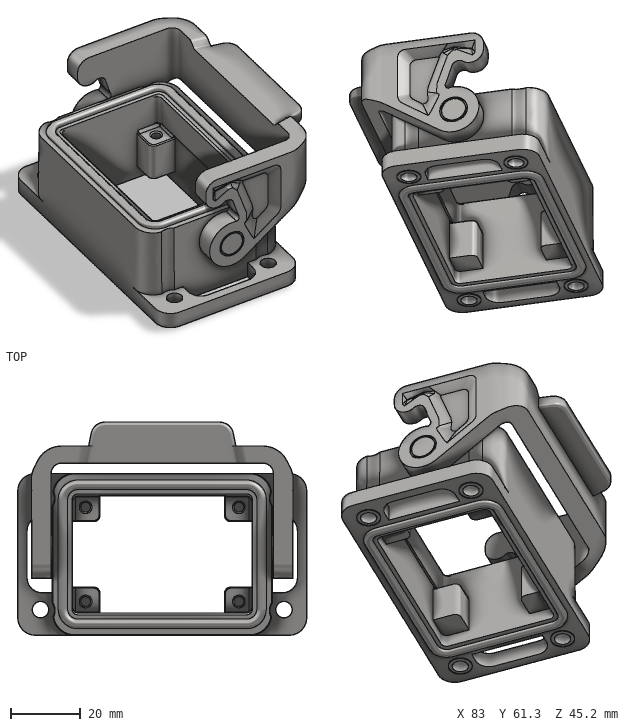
import cadquery as cq
import math

FLANGE_X = 83.0
FLANGE_Y = 46.5
FLANGE_Z0 = 1.3
FLANGE_TOP = 6.4
FLANGE_CORNER = 5.1
MOUNT_HOLE_X = 34.95
MOUNT_HOLE_Y = 15.85
MOUNT_HOLE_D = 4.65
MOUNT_PAD_D = 6.9
MOUNT_PAD_H = 0.25
SLOT_OUTER_X = 38.8
SLOT_HALF_Y = 10.95
SLOT_CORNER = 4.15

BODY_TOP = 28.4
BODY_HALF_X = 31.4
BODY_DRAFT = 0.5
BODY_CORNER_X = 6.9
BODY_CORNER_Y = 5.3
CHEEK_HALF_X = 31.6
CHEEK_HALF_Y = 13.9
NECK_HALF_X = 31.0
NECK_Y = 15.9

SEAL_X = 59.8
SEAL_Y = 42.7
SEAL_WIDTH = 2.7
SEAL_CORNER = 5.65
SEAL_HEIGHT = 1.25

CAVITY_X = 51.5
CAVITY_Y = 33.5
CAVITY_WIDE_Y = 34.7
CAVITY_MOUTH_X = 51.8
CAVITY_SPLIT_Z = 18.5
MOUTH_BEVEL_H = 0.6
CAVITY_CORNER = 1.7

POST_X = 7.9
POST_Y = 7.4
POST_INNER_X = CAVITY_X / 2 - POST_X
POST_INNER_Y = CAVITY_Y / 2 - POST_Y
POST_Z0 = 5.4
POST_TOP = 17.35
POST_CORNER = 1.8
POST_CHAMFER = 0.3
POST_OVERLAP = 0.8
POST_BEAD = 0.8
SCREW_X = 22.0
SCREW_Y = 13.5
SCREW_D = 2.8
SCREW_CHAMFER = 0.4
SCREW_DEPTH = 8.3

TOP = 45.2
ARM_OUTER_X = 37.5
ARM_INNER_X = 31.9
BACK_OUTER_Y = 31.1
BACK_INNER_Y = 26.15
BACK_BOTTOM_Z = 31.2
CORNER_CUT_X = 3.9
CORNER_CUT_Y = 7.6
CORNER_BACK_R = 7.7
CORNER_SIDE_R = 6.55
BRACKET_INNER_R = 2.9
NOSE_R = 3.9
NOSE_Y = -3.0
NOSE_LOW_Z = 39.3
NOSE_END_ANGLE = -65.0
THROAT_START = (-0.4, 36.35)
THROAT_CROWN = (1.25, 36.35)
THROAT_BACK_TOP = (2.4, 35.2)
THROAT_BACK_LOW = (4.15, 29.7)
THROAT_BLEND = (4.4, 28.6)
HUB_Y = 2.0
HUB_Z = 20.3
HUB_R = 7.55
HUB_START_ANGLE = 78.0
PIN_R = 3.6
PIN_GROOVE_R = 4.1
PIN_GROOVE_DEPTH = 0.4
PIN_INNER_X = 29.9

RECESS_DEPTH = 1.8
NOSE_RECESS_DEPTH = 0.9

TAB_TOP = 43.2
TAB_END_Y = 38.0
TAB_ROOT_Y = 28.2
TAB_ROOT_BOTTOM = 38.7
TAB_END_BOTTOM = 39.3
TAB_HALF_X = 21.2
TAB_FLARE = 0.2
TAB_CORNER = 4.15
TAB_ROUND = 1.0
DIP_UPPER_R = 2.0
DIP_LOWER_R = 1.1


def rounded_block(size_x, size_y, corner, z0, z1):
    block = cq.Workplane("XY", origin=(0, 0, z0)).rect(size_x, size_y).extrude(z1 - z0)
    return block.edges("|Z").fillet(corner)


def both_sides(solid):
    return solid.union(solid.mirror("YZ"))


def at_hub(angle):
    """Point on the hub circle; angle in radians from +Y towards +Z."""
    return (HUB_Y + HUB_R * math.cos(angle), HUB_Z + HUB_R * math.sin(angle))


def flange():
    plate = rounded_block(FLANGE_X, FLANGE_Y, FLANGE_CORNER, FLANGE_Z0, FLANGE_TOP)
    corners = [(sx * MOUNT_HOLE_X, sy * MOUNT_HOLE_Y) for sx in (-1, 1) for sy in (-1, 1)]
    pads = (
        cq.Workplane("XY", origin=(0, 0, FLANGE_Z0 - MOUNT_PAD_H))
        .pushPoints(corners)
        .circle(MOUNT_PAD_D / 2)
        .extrude(MOUNT_PAD_H)
    )
    holes = cq.Workplane("XY").pushPoints(corners).circle(MOUNT_HOLE_D / 2).extrude(FLANGE_TOP)
    slots = rounded_block(2 * SLOT_OUTER_X, 2 * SLOT_HALF_Y, SLOT_CORNER, 0, FLANGE_TOP)
    slots = slots.cut(cq.Workplane("XY").box(2 * CHEEK_HALF_X, FLANGE_Y, 2 * FLANGE_TOP))
    return plate.union(pads).cut(holes).cut(slots)


def body():
    """Drafted housing: rounded corners, then a shallow neck leading to a raised cheek on each side."""
    half_y = FLANGE_Y / 2
    corner_x = BODY_HALF_X - BODY_CORNER_X
    corner_y = half_y - BODY_CORNER_Y
    mid_x = corner_x + BODY_CORNER_X * math.sqrt(0.5)
    mid_y = corner_y + BODY_CORNER_Y * math.sqrt(0.5)
    outline = (
        cq.Workplane("XY", origin=(0, 0, FLANGE_TOP))
        .moveTo(-corner_x, half_y)
        .lineTo(corner_x, half_y)
        .threePointArc((mid_x, mid_y), (BODY_HALF_X, corner_y))
        .threePointArc((NECK_HALF_X, NECK_Y), (CHEEK_HALF_X, CHEEK_HALF_Y))
        .lineTo(CHEEK_HALF_X, -CHEEK_HALF_Y)
        .threePointArc((NECK_HALF_X, -NECK_Y), (BODY_HALF_X, -corner_y))
        .threePointArc((mid_x, -mid_y), (corner_x, -half_y))
        .lineTo(-corner_x, -half_y)
        .threePointArc((-mid_x, -mid_y), (-BODY_HALF_X, -corner_y))
        .threePointArc((-NECK_HALF_X, -NECK_Y), (-CHEEK_HALF_X, -CHEEK_HALF_Y))
        .lineTo(-CHEEK_HALF_X, CHEEK_HALF_Y)
        .threePointArc((-NECK_HALF_X, NECK_Y), (-BODY_HALF_X, corner_y))
        .threePointArc((-mid_x, mid_y), (-corner_x, half_y))
        .close()
    )
    return outline.extrude(BODY_TOP - FLANGE_TOP, taper=BODY_DRAFT)


def seal_ridge(base_z, crest_z):
    """Ridge with a domed section running around the cavity, from base_z up or down to crest_z."""
    half_width = SEAL_WIDTH / 2
    path_x = SEAL_X - SEAL_WIDTH
    path_y = SEAL_Y - SEAL_WIDTH
    block = rounded_block(path_x, path_y, SEAL_CORNER - half_width, base_z, base_z + SEAL_HEIGHT)
    path = cq.Workplane(obj=block.faces("<Z").wires().val())
    shoulder = half_width * math.sqrt(0.5)
    shoulder_z = base_z + (crest_z - base_z) * math.sqrt(0.5)
    section = (
        cq.Workplane("YZ")
        .center(path_y / 2, 0)
        .moveTo(-half_width, base_z)
        .threePointArc((-shoulder, shoulder_z), (0, crest_z))
        .threePointArc((shoulder, shoulder_z), (half_width, base_z))
        .close()
    )
    return section.sweep(path)


def cavity():
    """Through opening: wide below the split height, narrower above it, bevelled at the mouth."""
    bevel_z = BODY_TOP - MOUTH_BEVEL_H
    lower = rounded_block(CAVITY_X, CAVITY_WIDE_Y, CAVITY_CORNER, 0, CAVITY_SPLIT_Z)
    upper = rounded_block(CAVITY_X, CAVITY_Y, CAVITY_CORNER, CAVITY_SPLIT_Z, bevel_z)
    narrow = cq.Sketch().rect(CAVITY_X, CAVITY_Y).vertices().fillet(CAVITY_CORNER)
    wide = cq.Sketch().rect(CAVITY_MOUTH_X, CAVITY_WIDE_Y).vertices().fillet(CAVITY_CORNER)
    mouth = (
        cq.Workplane("XY", origin=(0, 0, bevel_z))
        .placeSketch(narrow, wide.moved(cq.Location(cq.Vector(0, 0, MOUTH_BEVEL_H))))
        .loft()
    )
    return lower.union(upper).union(mouth)


def post_root_bead():
    """45 degree bead where the top of the +X, +Y post meets the two cavity walls."""
    block = (
        cq.Workplane("XY", origin=(POST_INNER_X + POST_CHAMFER, POST_INNER_Y + POST_CHAMFER, POST_TOP))
        .rect(POST_X, POST_Y + POST_BEAD, centered=False)
        .extrude(POST_BEAD)
    )
    clearance = (
        cq.Workplane("XY", origin=(0, 0, POST_TOP))
        .rect(CAVITY_X - 2 * POST_BEAD, CAVITY_WIDE_Y - 2 * POST_BEAD)
        .extrude(POST_BEAD, taper=-45)
    )
    return block.cut(clearance)


def screw_posts():
    """Four posts merged into the cavity corners, each with a chamfered blind screw hole."""
    post = (
        cq.Workplane("XY", origin=(POST_INNER_X, POST_INNER_Y, POST_Z0))
        .rect(POST_X + POST_OVERLAP, POST_Y + POST_OVERLAP, centered=False)
        .extrude(POST_TOP - POST_Z0)
        .edges("|Z and <X and <Y")
        .fillet(POST_CORNER)
        .faces(">Z")
        .edges()
        .chamfer(POST_CHAMFER)
    )
    hole = (
        cq.Workplane("XY", origin=(SCREW_X, SCREW_Y, POST_TOP))
        .circle(SCREW_D / 2)
        .extrude(-SCREW_DEPTH)
    )
    countersink = (
        cq.Workplane("XY", origin=(SCREW_X, SCREW_Y, POST_TOP))
        .circle(SCREW_D / 2 + SCREW_CHAMFER)
        .extrude(-SCREW_CHAMFER, taper=45)
    )
    pair = both_sides(post.cut(hole).cut(countersink).union(post_root_bead()))
    return pair.union(pair.mirror("XZ"))


def bracket_plan():
    """U-shaped wall, open towards -Y; each outer corner is a flat blended by an arc at either end."""
    front_y = NOSE_Y - NOSE_R
    height = TOP - (HUB_Z - HUB_R)

    def u_block(half_x, back_y):
        return (
            cq.Workplane("XY", origin=(0, (front_y + back_y) / 2, HUB_Z - HUB_R))
            .rect(2 * half_x, back_y - front_y)
            .extrude(height)
        )

    def bevel_foot(side_x):
        """Selects the upright edge where the corner flat meets a side face."""
        foot = (side_x, BACK_OUTER_Y - CORNER_CUT_Y, TOP - height / 2)
        return cq.selectors.NearestToPointSelector(foot)

    bevel = (
        cq.Workplane("XY", origin=(0, 0, HUB_Z - HUB_R))
        .moveTo(-ARM_OUTER_X, BACK_OUTER_Y)
        .lineTo(CORNER_CUT_X - ARM_OUTER_X, BACK_OUTER_Y)
        .lineTo(-ARM_OUTER_X, BACK_OUTER_Y - CORNER_CUT_Y)
        .close()
        .extrude(height)
    )
    outer = (
        u_block(ARM_OUTER_X, BACK_OUTER_Y)
        .cut(both_sides(bevel))
        .edges("|Z and >Y")
        .fillet(CORNER_BACK_R)
        .edges(bevel_foot(-ARM_OUTER_X) + bevel_foot(ARM_OUTER_X))
        .fillet(CORNER_SIDE_R)
    )
    inner = u_block(ARM_INNER_X, BACK_INNER_Y).edges("|Z and >Y").fillet(BRACKET_INNER_R)
    return outer.cut(inner)


def bracket_side():
    """Side outline: hooked nose, throat, pivot hub and a sloping lower edge up to the back wall."""
    nose_high_z = TOP - NOSE_R
    diagonal = NOSE_R * math.sqrt(0.5)
    nose_end = math.radians(NOSE_END_ANGLE)
    reach = math.hypot(BACK_OUTER_Y - HUB_Y, BACK_BOTTOM_Z - HUB_Z)
    bearing = math.atan2(BACK_BOTTOM_Z - HUB_Z, BACK_OUTER_Y - HUB_Y)
    tangent_angle = bearing - math.acos(HUB_R / reach)
    return (
        cq.Workplane("YZ", origin=(-ARM_OUTER_X, 0, 0))
        .moveTo(BACK_OUTER_Y, TOP)
        .lineTo(NOSE_Y, TOP)
        .threePointArc((NOSE_Y - diagonal, nose_high_z + diagonal), (NOSE_Y - NOSE_R, nose_high_z))
        .lineTo(NOSE_Y - NOSE_R, NOSE_LOW_Z)
        .threePointArc(
            (NOSE_Y - diagonal, NOSE_LOW_Z - diagonal),
            (NOSE_Y + NOSE_R * math.cos(nose_end), NOSE_LOW_Z + NOSE_R * math.sin(nose_end)),
        )
        .lineTo(*THROAT_START)
        .threePointArc(THROAT_CROWN, THROAT_BACK_TOP)
        .lineTo(*THROAT_BACK_LOW)
        .threePointArc(THROAT_BLEND, at_hub(math.radians(HUB_START_ANGLE)))
        .threePointArc(at_hub(math.pi), at_hub(tangent_angle))
        .lineTo(BACK_OUTER_Y, BACK_BOTTOM_Z)
        .close()
        .extrude(2 * ARM_OUTER_X)
    )


def recess_outline(plane, top_left, top_arc, right_side, low_arc):
    """Closed outline: top edge and right side as straight lines, left corners as arcs."""
    outline = plane.moveTo(*top_left)
    for point in right_side:
        outline = outline.lineTo(*point)
    outline = outline.threePointArc(*low_arc)
    return outline.lineTo(*top_arc[0]).threePointArc(top_arc[1], top_left).close()


def arm_recess():
    """Sloping-walled recess in the outer face of the -X arm."""
    face = cq.Workplane("YZ", origin=(-ARM_OUTER_X, 0, 0))
    mouth = recess_outline(
        face,
        top_left=(16.1, 42.7),
        top_arc=((18.5, 40.5), (17.85, 42.0)),
        right_side=[
            (3.7, 42.7), (3.7, 38.8), (6.9, 29.6), (7.0, 26.6), (6.2, 26.1),
            (6.5, 25.1), (8.6, 20.6), (9.5, 19.3), (16.9, 24.6),
        ],
        low_arc=((18.1, 25.7), (18.5, 27.1)),
    )
    return recess_outline(
        mouth.workplane(offset=RECESS_DEPTH),
        top_left=(13.45, 39.75),
        top_arc=((15.35, 37.7), (14.85, 39.2)),
        right_side=[
            (6.8, 39.75), (6.6, 39.5), (9.9, 30.3), (10.2, 28.5), (10.0, 26.3),
            (10.05, 25.65), (10.45, 24.9), (11.5, 24.6), (14.3, 26.6),
        ],
        low_arc=((15.0, 27.4), (15.35, 28.5)),
    ).loft(ruled=True)


def nose_valley():
    """Shallow valley leading from the -X arm recess into the nose."""
    face = cq.Workplane("YZ", origin=(-ARM_OUTER_X, 0, 0))
    valley_mouth = [
        (3.8, 42.7), (2.0, 42.7), (-1.3, 42.7), (-4.4, 42.7), (-4.4, 38.6),
        (-3.65, 37.8), (0.8, 40.25), (2.2, 40.25), (3.8, 38.7),
    ]
    valley_floor = [
        (5.4, 41.2), (2.0, 41.9), (-1.3, 41.1), (-3.3, 40.7), (-3.4, 40.5),
        (-3.2, 40.4), (0.5, 41.1), (2.0, 41.6), (5.2, 40.25),
    ]
    return (
        face.polyline(valley_mouth)
        .close()
        .workplane(offset=NOSE_RECESS_DEPTH)
        .polyline(valley_floor)
        .close()
        .loft(ruled=True)
    )


def finger_tab():
    end_half_x = TAB_HALF_X - TAB_FLARE * (TAB_END_Y - BACK_OUTER_Y)
    root_half_x = TAB_HALF_X + TAB_FLARE * (BACK_OUTER_Y - TAB_ROOT_Y)
    plan = (
        cq.Workplane("XY", origin=(0, 0, TAB_ROOT_BOTTOM))
        .polyline(
            [
                (-root_half_x, TAB_ROOT_Y),
                (-end_half_x, TAB_END_Y),
                (end_half_x, TAB_END_Y),
                (root_half_x, TAB_ROOT_Y),
            ]
        )
        .close()
        .extrude(TAB_TOP - TAB_ROOT_BOTTOM)
        .edges("|Z and >Y")
        .fillet(TAB_CORNER)
    )
    side = (
        cq.Workplane("YZ", origin=(-root_half_x, 0, 0))
        .polyline(
            [
                (TAB_ROOT_Y, TAB_TOP),
                (TAB_END_Y, TAB_TOP),
                (TAB_END_Y, TAB_END_BOTTOM),
                (TAB_ROOT_Y, TAB_ROOT_BOTTOM),
            ]
        )
        .close()
        .extrude(2 * root_half_x)
    )
    tab = plan.intersect(side)
    return tab.faces("<Z or >Z").edges("not <Y").fillet(TAB_ROUND)


def dip_outline(plane, half_x):
    """Dip with 45 degree flanks, rounded into the floor and into the top face."""
    bend = math.sqrt(0.5)
    half_bend_sin = math.sin(math.pi / 8)
    half_bend_drop = 1 - math.cos(math.pi / 8)
    lower = [
        (half_x, TAB_TOP),
        (half_x + DIP_LOWER_R * half_bend_sin, TAB_TOP + DIP_LOWER_R * half_bend_drop),
        (half_x + DIP_LOWER_R * bend, TAB_TOP + DIP_LOWER_R * (1 - bend)),
    ]
    flank_start_x, flank_start_z = lower[-1]
    flank_end_z = TOP - DIP_UPPER_R * (1 - bend)
    flank_end_x = flank_start_x + flank_end_z - flank_start_z
    crest_x = flank_end_x + DIP_UPPER_R * bend
    upper = [
        (flank_end_x, flank_end_z),
        (crest_x - DIP_UPPER_R * half_bend_sin, TOP - DIP_UPPER_R * half_bend_drop),
        (crest_x, TOP),
    ]

    def left(point):
        return (-point[0], point[1])

    return (
        plane.moveTo(*left(lower[0]))
        .lineTo(*lower[0])
        .threePointArc(lower[1], lower[2])
        .lineTo(*upper[0])
        .threePointArc(upper[1], upper[2])
        .lineTo(*left(upper[2]))
        .threePointArc(left(upper[1]), left(upper[0]))
        .lineTo(*left(lower[2]))
        .threePointArc(left(lower[1]), left(lower[0]))
        .close()
    )


def back_wall_dip():
    outer_half_x = TAB_HALF_X - TAB_ROUND
    inner_half_x = outer_half_x + TAB_FLARE * (BACK_OUTER_Y - BACK_INNER_Y)
    outer = dip_outline(cq.Workplane("XZ", origin=(0, BACK_OUTER_Y, 0)), outer_half_x)
    inner_plane = outer.workplane(offset=BACK_OUTER_Y - BACK_INNER_Y)
    return dip_outline(inner_plane, inner_half_x).loft(ruled=True)


def pivot_pin():
    length = ARM_OUTER_X - PIN_INNER_X
    return cq.Workplane("YZ", origin=(-ARM_OUTER_X, HUB_Y, HUB_Z)).circle(PIN_R).extrude(length)


def pin_groove():
    face = cq.Workplane("YZ", origin=(-ARM_OUTER_X, HUB_Y, HUB_Z))
    return face.circle(PIN_GROOVE_R).circle(PIN_R).extrude(PIN_GROOVE_DEPTH)


housing = (
    flange()
    .union(body())
    .cut(cavity())
    .union(seal_ridge(BODY_TOP, BODY_TOP + SEAL_HEIGHT))
    .union(seal_ridge(FLANGE_Z0, 0))
    .union(screw_posts())
)

bracket = (
    bracket_plan()
    .intersect(bracket_side())
    .cut(back_wall_dip())
    .union(finger_tab())
    .cut(both_sides(arm_recess()))
    .cut(both_sides(nose_valley()))
    .cut(both_sides(pin_groove()))
    .union(pivot_pin())
    .union(pivot_pin().mirror("YZ"))
)

result = housing.union(bracket)